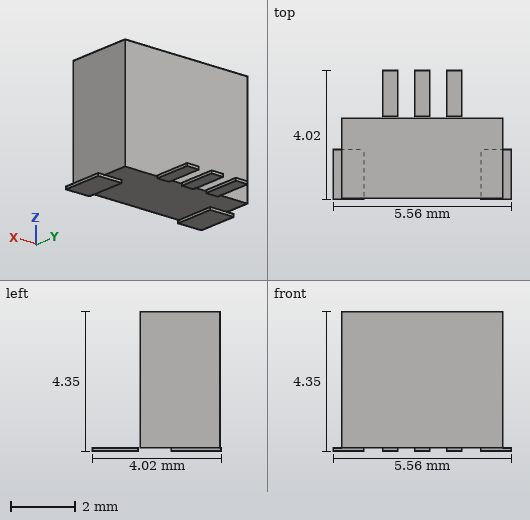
import cadquery as cq

housing_width = 5.03
housing_depth = 2.5
housing_height = 4.25

pad_thickness = 0.1

contact_count = 3
contact_pitch = 1.0
contact_width = 0.48
contact_length = 1.434
contact_gap = 0.06

mount_span = 5.56
mount_width = 0.96
mount_length = 1.56
mount_front_overhang = 0.03

housing_back = housing_depth / 2
housing_front = -housing_depth / 2


def make_block(width, depth, height, center_x, front_y, bottom_z):
    """Rectangular block placed by its X centre, front face and underside."""
    return (
        cq.Workplane("XY")
        .box(width, depth, height, centered=(True, False, False))
        .translate((center_x, front_y, bottom_z))
    )


def make_housing():
    return make_block(
        housing_width, housing_depth, housing_height, 0, housing_front, pad_thickness
    )


def make_contact_pad(center_x):
    front_y = housing_back + contact_gap
    return make_block(contact_width, contact_length, pad_thickness, center_x, front_y, 0)


def make_mount_pad(side):
    """Mounting pad on the left (side = -1) or right (side = 1)."""
    center_x = side * (mount_span - mount_width) / 2
    front_y = housing_front - mount_front_overhang
    return make_block(mount_width, mount_length, pad_thickness, center_x, front_y, 0)


housing = make_housing()

contact_pads = []
for index in range(contact_count):
    offset = index - (contact_count - 1) / 2
    contact_pads.append(make_contact_pad(offset * contact_pitch))

mount_pads = [make_mount_pad(side) for side in (-1, 1)]

bodies = [housing, *contact_pads, *mount_pads]
result = cq.Compound.makeCompound([body.val() for body in bodies])